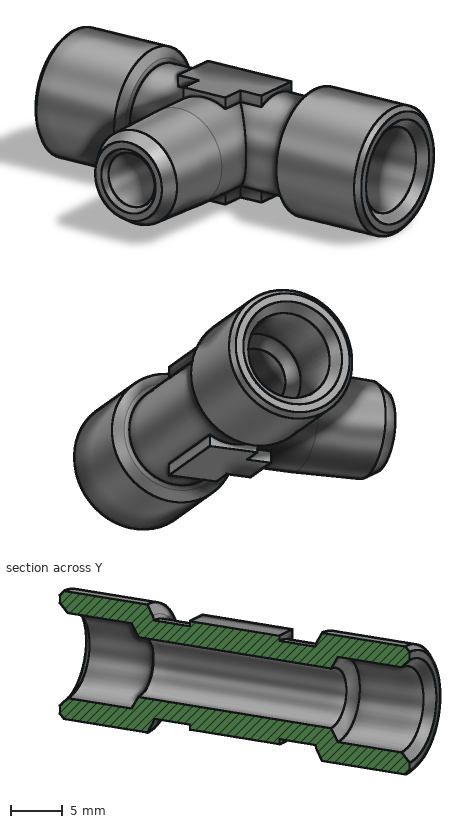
import cadquery as cq
import math

run_length = 39.0
run_diameter = 10.0
run_bore_diameter = 6.0

socket_diameter = 13.0
socket_length = 10.55
mouth_chamfer = 0.5
shoulder_chamfer_length = 0.6
shoulder_chamfer_height = 1.04
shoulder_cone_length = 0.16
socket_bore_diameter = 8.57
socket_bore_depth = 8.0
drill_tip_angle = 118.0
countersink_diameter = 10.4
countersink_angle = 90.0

branch_diameter = run_diameter
branch_length = 17.5
taper_start = 9.0
chamfer_diameter = 9.6
tip_diameter = 8.0
tip_chamfer_angle = 30.0
branch_bore_diameter = 5.5
branch_bore_chamfer = 0.5

pad_height = 11.0
pad_width = branch_diameter
pad_depth = pad_width / 2
pad_stem_width = pad_width / 2
pad_stem_reach = pad_width / 2


def cone_length(large_diameter, small_diameter, included_angle):
    """Axial length of a cone between two diameters."""
    return (large_diameter - small_diameter) / 2 / math.tan(math.radians(included_angle / 2))


def make_run():
    """Outer body of the run, revolved about the X axis."""
    mouth_x = run_length / 2
    shoulder_x = mouth_x - socket_length
    chamfer_start_x = shoulder_x + shoulder_cone_length
    run_radius = run_diameter / 2
    socket_radius = socket_diameter / 2
    right_profile = [
        (shoulder_x, run_radius),
        (chamfer_start_x, socket_radius - shoulder_chamfer_height),
        (chamfer_start_x + shoulder_chamfer_length, socket_radius),
        (mouth_x - mouth_chamfer, socket_radius),
        (mouth_x, socket_radius - mouth_chamfer),
        (mouth_x, 0),
    ]
    left_profile = [(-x, radius) for x, radius in reversed(right_profile)]
    return (
        cq.Workplane("XY")
        .polyline(left_profile + right_profile)
        .close()
        .revolve(360, (0, 0, 0), (1, 0, 0))
    )


def make_branch():
    """Outer body of the branch, revolved about the Y axis from the crossing to the tip."""
    branch_radius = branch_diameter / 2
    tip_radius = tip_diameter / 2
    chamfer_radius = chamfer_diameter / 2
    chamfer_length = (chamfer_radius - tip_radius) / math.tan(math.radians(tip_chamfer_angle))
    return (
        cq.Workplane("XY")
        .moveTo(0, 0)
        .lineTo(branch_radius, 0)
        .lineTo(branch_radius, -taper_start)
        .lineTo(chamfer_radius, -(branch_length - chamfer_length))
        .lineTo(tip_radius, -branch_length)
        .lineTo(0, -branch_length)
        .close()
        .revolve(360, (0, 0, 0), (0, 1, 0))
    )


def make_pads():
    """T-shaped block whose ends stand proud of the pipes at top and bottom."""
    bar = cq.Workplane("XY").box(pad_width, pad_depth, pad_height)
    stem = (
        cq.Workplane("XY")
        .box(pad_stem_width, pad_stem_reach, pad_height)
        .translate((0, -pad_stem_reach / 2, 0))
    )
    return bar.union(stem)


def make_socket_cavity():
    """Countersunk socket bore with a conical drill floor, at the +X end."""
    mouth_x = run_length / 2
    countersink_length = cone_length(countersink_diameter, socket_bore_diameter, countersink_angle)
    floor_x = mouth_x - socket_bore_depth
    floor_length = cone_length(socket_bore_diameter, run_bore_diameter, drill_tip_angle)
    return (
        cq.Workplane("XY")
        .moveTo(mouth_x, 0)
        .lineTo(mouth_x, countersink_diameter / 2)
        .lineTo(mouth_x - countersink_length, socket_bore_diameter / 2)
        .lineTo(floor_x, socket_bore_diameter / 2)
        .lineTo(floor_x - floor_length, run_bore_diameter / 2)
        .lineTo(floor_x - floor_length, 0)
        .close()
        .revolve(360, (0, 0, 0), (1, 0, 0))
    )


def make_run_bore():
    """Bore through the whole run."""
    return (
        cq.Workplane("YZ", origin=(-run_length / 2, 0, 0))
        .circle(run_bore_diameter / 2)
        .extrude(run_length)
    )


def make_branch_bore():
    """Bore from the crossing to the branch tip, with a chamfered mouth."""
    bore_radius = branch_bore_diameter / 2
    return (
        cq.Workplane("XY")
        .moveTo(0, 0)
        .lineTo(bore_radius, 0)
        .lineTo(bore_radius, -(branch_length - branch_bore_chamfer))
        .lineTo(bore_radius + branch_bore_chamfer, -branch_length)
        .lineTo(0, -branch_length)
        .close()
        .revolve(360, (0, 0, 0), (0, 1, 0))
    )


socket_cavity = make_socket_cavity()
body = make_run().union(make_branch()).union(make_pads())
result = (
    body.cut(make_run_bore())
    .cut(socket_cavity)
    .cut(socket_cavity.mirror("YZ"))
    .cut(make_branch_bore())
)